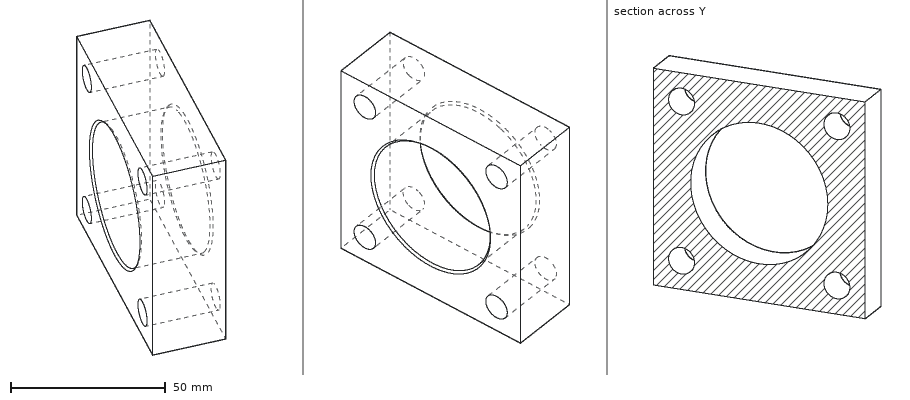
import cadquery as cq

SIDE = 75.0
THICKNESS = 25.0
BORE_RIM_DIAMETER = 50.0
BORE_CHAMFER = 0.8
BORE_DIAMETER = BORE_RIM_DIAMETER - 2 * BORE_CHAMFER
BOLT_HOLE_DIAMETER = 9.0
BOLT_SPACING = 55.0


def make_block():
    return cq.Workplane("XY").box(SIDE, THICKNESS, SIDE)


def cut_bore(body):
    """Cut the central through bore and chamfer its rims on the -Y and +Y faces."""
    bored = body.faces("<Y").workplane().hole(BORE_DIAMETER)
    return bored.edges("%CIRCLE").chamfer(BORE_CHAMFER)


def cut_bolt_holes(body):
    """Cut the four plain through holes on a square pattern around the bore."""
    return (
        body.faces("<Y")
        .workplane()
        .rect(BOLT_SPACING, BOLT_SPACING, forConstruction=True)
        .vertices()
        .hole(BOLT_HOLE_DIAMETER)
    )


block = make_block()
bored_block = cut_bore(block)
result = cut_bolt_holes(bored_block)